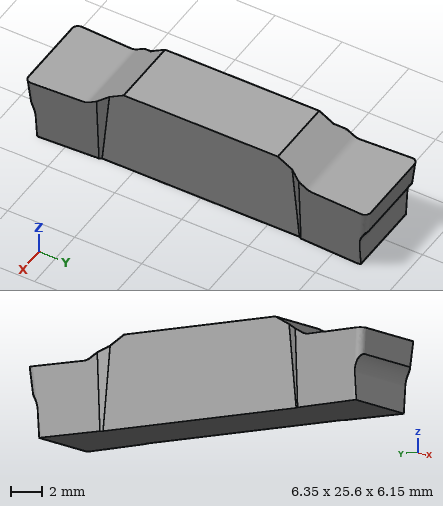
import cadquery as cq
import math

length = 25.6
height = 6.15
head_height = 4.65
tip_width = 6.35
body_width = 5.17

ramp_angle = math.radians(30)
ramp_arc_radius = 1.02
body_top_length = 11.52

side_draft = math.radians(3.3)
back_taper = math.radians(2.6)
end_draft = math.radians(6)
corner_radius = 0.44

flare_angle = math.radians(30)
flare_start = 7.37
flare_tilt = math.radians(5.6)

body_half_length = 7.55
head_inner_y = 6.65

relief_y = 12.1
relief_top = 2.97
relief_arc_bottom = 1.8

half_length = length / 2


def make_side_profile():
    """Lengthwise outline with the relieved ends, extruded across the width."""
    ramp_top_y = body_top_length / 2
    arc_rise = ramp_arc_radius * (1 - math.cos(ramp_angle))
    arc_run = ramp_arc_radius * math.sin(ramp_angle)
    ramp_foot_z = head_height + arc_rise
    ramp_foot_y = ramp_top_y + (height - ramp_foot_z) / math.tan(ramp_angle)
    seat_end_y = ramp_foot_y + arc_run
    relief_top_y = half_length - (head_height - relief_top) * math.tan(end_draft)

    half_profile = (
        cq.Workplane("YZ")
        .lineTo(relief_y, 0)
        .lineTo(relief_y, relief_arc_bottom)
        .tangentArcPoint((relief_top_y, relief_top), relative=False)
        .lineTo(half_length, head_height)
        .lineTo(seat_end_y, head_height)
        .tangentArcPoint((ramp_foot_y, ramp_foot_z), relative=False)
        .lineTo(ramp_top_y, height)
        .lineTo(0, height)
        .close()
        .extrude(tip_width, both=True)
    )
    return half_profile.union(half_profile.mirror("XZ"))


def loft_outlines(outline_at):
    """Flat-sided solid between the outlines at the base and at the full height."""
    return (
        cq.Workplane("XY")
        .polyline(outline_at(0))
        .close()
        .workplane(offset=height)
        .polyline(outline_at(height))
        .close()
        .loft(ruled=True, combine=True)
    )


def make_head():
    """Drafted block with rounded corners at +Y, trimmed by the tilted flare."""

    def block_outline_at(z):
        depth = head_height - z
        end_y = half_length - depth * math.tan(end_draft)
        tip_half = tip_width / 2 - depth * math.tan(side_draft)
        taper = math.tan(back_taper)
        widest_y = half_length - corner_radius
        inner_half = tip_half - (widest_y - head_inner_y) * taper
        end_half = tip_half + (end_y - widest_y) * taper
        return [
            (-inner_half, head_inner_y),
            (inner_half, head_inner_y),
            (end_half, end_y),
            (-end_half, end_y),
        ]

    block = loft_outlines(block_outline_at)
    outer_corners = cq.selectors.BoxSelector(
        (-tip_width, relief_y, 0), (tip_width, length, height)
    )
    block = block.edges(outer_corners).edges("not |X").fillet(corner_radius)

    def flare_outline_at(z):
        start_y = flare_start - z * math.tan(flare_tilt)
        start_half = body_width / 2
        end_half = start_half + (half_length - start_y) * math.tan(flare_angle)
        return [
            (-start_half, start_y),
            (start_half, start_y),
            (end_half, half_length),
            (-end_half, half_length),
        ]

    return block.intersect(loft_outlines(flare_outline_at))


body = cq.Workplane("XY").box(
    body_width, 2 * body_half_length, height, centered=(True, True, False)
)
head = make_head()
blank = body.union(head).union(head.mirror("XZ"))
result = blank.intersect(make_side_profile())